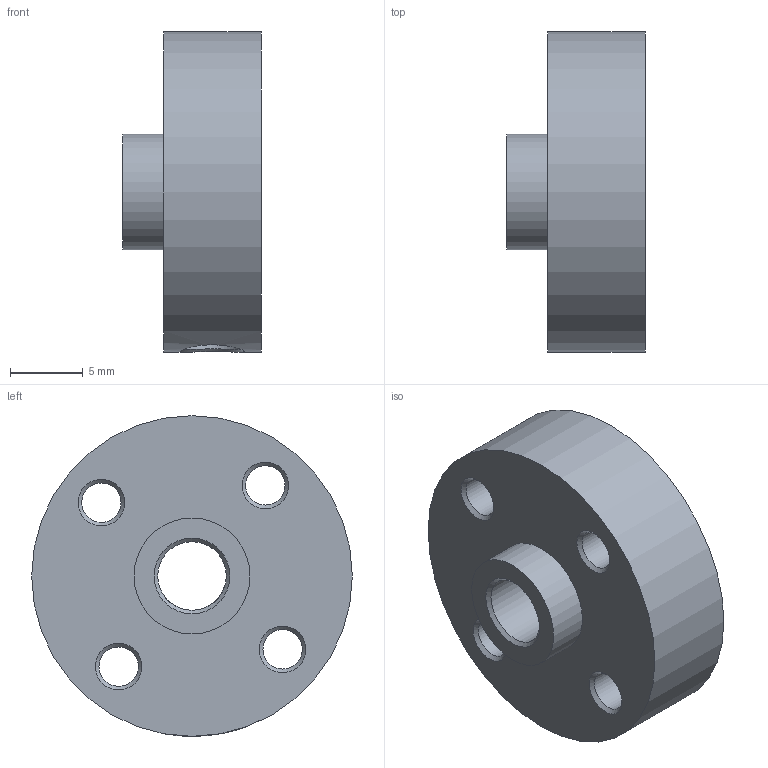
import cadquery as cq
import math

flange_diameter = 22.0
overall_length = 9.5
hub_length = 2.8
hub_diameter = 7.95
flange_thickness = overall_length - hub_length

bore_diameter = 4.7

chamfer_width = 0.25

bolt_hole_diameter = 2.7
bolt_circle_radius = 8.0
bolt_hole_count = 4
bolt_hole_spacing = 360.0 / bolt_hole_count
first_bolt_hole_angle = 39.0

set_screw_diameter = 4.0
set_screw_chamfer = 0.2
set_screw_drill_clearance = 1.0
set_screw_angle = first_bolt_hole_angle - 1.5 * bolt_hole_spacing


def disc(start_x, length, diameter):
    """Solid cylinder along X, centred on the part's axis."""
    return cq.Workplane("YZ", origin=(start_x, 0, 0)).circle(diameter / 2).extrude(length)


def chamfered_cutter(diameter, depth, entry, direction):
    """Drill shape: a cylinder with a 45 degree chamfer widening it at its entry."""
    radius = diameter / 2
    cylinder = cq.Solid.makeCylinder(radius, depth, entry, direction)
    chamfer = cq.Solid.makeCone(radius + chamfer_width, radius, chamfer_width, entry, direction)
    return cq.Workplane(cylinder).union(cq.Workplane(chamfer))


def bore_cutter():
    entry = cq.Vector(-hub_length, 0, 0)
    return chamfered_cutter(bore_diameter, overall_length, entry, cq.Vector(1, 0, 0))


def bolt_hole_cutter(angle):
    y = bolt_circle_radius * math.cos(math.radians(angle))
    z = bolt_circle_radius * math.sin(math.radians(angle))
    return chamfered_cutter(bolt_hole_diameter, flange_thickness, cq.Vector(0, y, z), cq.Vector(1, 0, 0))


def drill_set_screw(flange):
    """Drill a radial hole from the rim to the axis at mid-thickness and chamfer its curved rim edge."""
    angle = math.radians(set_screw_angle)
    inward = cq.Vector(0, -math.cos(angle), -math.sin(angle))
    drill_length = flange_diameter / 2 + set_screw_drill_clearance
    entry = cq.Vector(flange_thickness / 2, 0, 0) - inward * drill_length
    drill = cq.Solid.makeCylinder(set_screw_diameter / 2, drill_length, entry, inward)
    return flange.cut(cq.Workplane(drill)).edges("not (%CIRCLE or %LINE)").chamfer(set_screw_chamfer)


result = drill_set_screw(disc(0, flange_thickness, flange_diameter))
result = result.union(disc(-hub_length, hub_length, hub_diameter))
result = result.cut(bore_cutter())
for index in range(bolt_hole_count):
    result = result.cut(bolt_hole_cutter(first_bolt_hole_angle + index * bolt_hole_spacing))